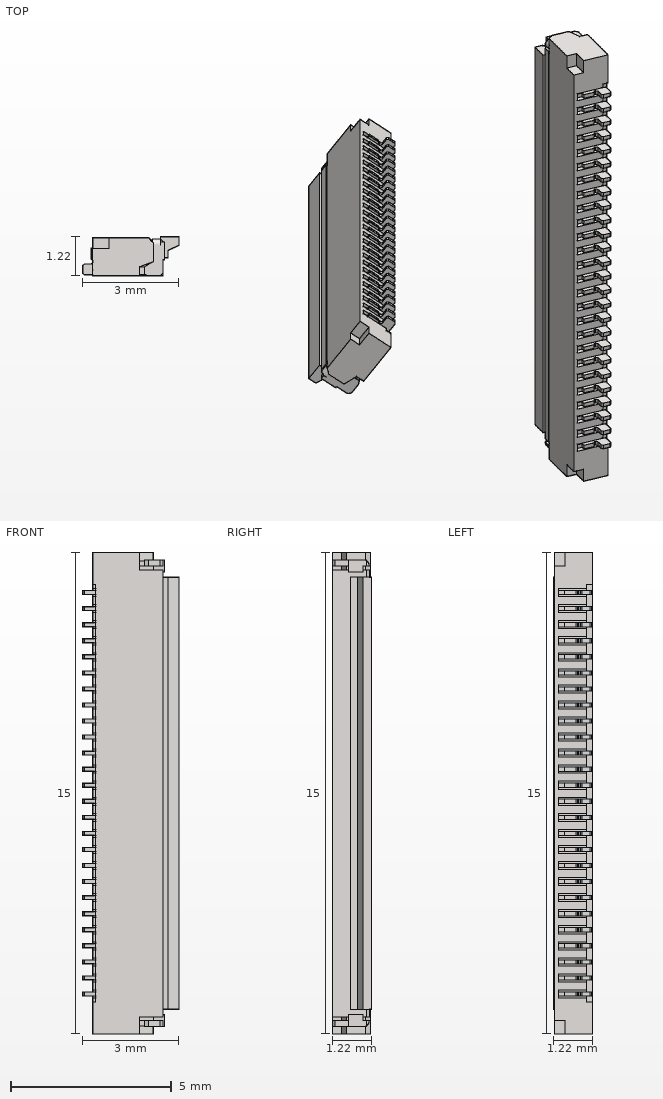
import cadquery as cq

LENGTH = 15.0
TOTAL_DEPTH = 3.0
THICKNESS = 1.22

FACE_X = 0.31
REAR_X = 2.5
HOUSING_TOP = 1.19
END_POCKET_DEPTH = 0.54
POCKET_X = 1.76
POCKET_TOP = 0.28
SHOULDER_X = 2.2
CHAMFER_START_X = 2.06
SHELF_X = 2.17
SHELF_TOP = 1.15
SHELF_END_X = 2.42
SHELF_CORNER = 0.08
GROOVE_X = 2.14
GROOVE_Y = 1.05
SHOULDER_Y = 0.44
SHOULDER_TOP = 1.03
CORNER_NOTCH = (0.5, 0.34, 0.43)
BASE_RECESS = (0.09, 0.18, 13.0)

CONTACT_COUNT = 26
PITCH = 0.5
CONTACT_WIDTH = 0.13
TAIL_BOTTOM = 0.03
TAIL_TOP = 0.37
TAIL_CHAMFER = 0.05
CONTACT_BUMP_X = 0.26
CONTACT_BUMP_BOTTOM = 0.52
CONTACT_BUMP_TOP = 0.87
CONTACT_NECK_X = 0.33
CONTACT_NECK_BOTTOM = 0.43
CONTACT_NECK_TOP = 0.47
CONTACT_HEAD_X = 0.38
SLOT_WIDTH = 0.25
SLOT_DEPTH = 0.5
SLOT_BOTTOM = BASE_RECESS[1]
SLOT_TOP = 1.06

ACTUATOR_LENGTH = 13.46
ACTUATOR_LIP_BOTTOM = 0.95
ACTUATOR_HEEL_X = 2.66
ACTUATOR_HEEL_TOP = 0.79
ACTUATOR_BOTTOM = 0.56

NAIL_INSET = 0.23
NAIL_THICKNESS = 0.2
NAIL_START_X = 1.92
NAIL_FOOT_START_X = 2.04
NAIL_FOOT_END_X = 2.41
NAIL_END_X = 2.55
NAIL_BOTTOM = 0.05
NAIL_STEP_Y = 0.5
NAIL_BEND_Y = 0.95
NAIL_TOP = 1.15
NAIL_CORNER = 0.09
NAIL_BEND_RADIUS = 0.19
NAIL_TAB_TOP = 0.28
NAIL_TAB_THICKNESS = 0.17
NAIL_LUG_LENGTH = 0.38


def prism(points, z_low, z_high):
    """Extrude an XY outline between two Z levels."""
    return cq.Workplane("XY").workplane(offset=z_low).polyline(points).close().extrude(z_high - z_low)


def block(x, y, z, size_x, size_y, size_z):
    """Box with its low X and low Y sides at x, y, centred on z."""
    return cq.Workplane("XY").box(size_x, size_y, size_z, centered=(False, False, True)).translate((x, y, z))


def both_ends(solid):
    """The solid together with its mirror image about the mid-length plane."""
    return solid.union(solid.mirror("XY"))


def make_housing():
    floor_z = LENGTH / 2 - END_POCKET_DEPTH
    middle_outline = [
        (FACE_X, 0), (REAR_X, 0), (REAR_X, SHELF_TOP - SHELF_CORNER), (SHELF_END_X, SHELF_TOP),
        (SHELF_X, SHELF_TOP), (GROOVE_X, GROOVE_Y), (CHAMFER_START_X, HOUSING_TOP), (FACE_X, HOUSING_TOP),
    ]
    end_outline = [
        (FACE_X, 0), (POCKET_X, 0), (POCKET_X, POCKET_TOP), (SHOULDER_X, SHOULDER_Y),
        (SHOULDER_X, SHOULDER_TOP), (CHAMFER_START_X, HOUSING_TOP), (FACE_X, HOUSING_TOP),
    ]
    housing = prism(middle_outline, -floor_z, floor_z)
    housing = housing.union(both_ends(prism(end_outline, floor_z, LENGTH / 2)))
    notch_x, notch_y, notch_z = CORNER_NOTCH
    notch = block(FACE_X, HOUSING_TOP - notch_y, (LENGTH - notch_z) / 2, notch_x, notch_y, notch_z)
    housing = housing.cut(both_ends(notch))
    return housing.cut(block(FACE_X, 0, 0, *BASE_RECESS))


def make_contact(z):
    seat_x = FACE_X + SLOT_DEPTH
    outline = [
        (TAIL_CHAMFER, TAIL_BOTTOM), (seat_x, TAIL_BOTTOM), (seat_x, SLOT_TOP), (CONTACT_HEAD_X, SLOT_TOP),
        (CONTACT_HEAD_X, CONTACT_BUMP_TOP), (CONTACT_BUMP_X, CONTACT_BUMP_TOP),
        (CONTACT_BUMP_X, CONTACT_BUMP_BOTTOM),
        (CONTACT_NECK_X, CONTACT_NECK_TOP), (CONTACT_NECK_X, CONTACT_NECK_BOTTOM), (CONTACT_BUMP_X, TAIL_TOP),
        (TAIL_CHAMFER, TAIL_TOP), (0, TAIL_TOP - TAIL_CHAMFER), (0, TAIL_BOTTOM + TAIL_CHAMFER),
    ]
    return prism(outline, z - CONTACT_WIDTH / 2, z + CONTACT_WIDTH / 2)


def make_actuator():
    outline = [
        (SHELF_END_X, THICKNESS), (TOTAL_DEPTH, THICKNESS), (TOTAL_DEPTH, ACTUATOR_LIP_BOTTOM),
        (ACTUATOR_HEEL_X, ACTUATOR_HEEL_TOP), (ACTUATOR_HEEL_X, ACTUATOR_BOTTOM),
        (SHELF_END_X, ACTUATOR_BOTTOM),
    ]
    return prism(outline, -ACTUATOR_LENGTH / 2, ACTUATOR_LENGTH / 2)


def make_nail():
    plate_z = LENGTH / 2 - NAIL_INSET - NAIL_THICKNESS
    plate_top_z = plate_z + NAIL_THICKNESS
    outline = [
        (NAIL_START_X, NAIL_BOTTOM), (NAIL_FOOT_START_X, 0), (NAIL_FOOT_END_X, 0), (REAR_X, NAIL_CORNER),
        (REAR_X, NAIL_STEP_Y), (NAIL_END_X, NAIL_STEP_Y), (NAIL_END_X, NAIL_TOP - NAIL_CORNER),
        (SHELF_END_X, NAIL_TOP - NAIL_CORNER), (SHELF_END_X, NAIL_BEND_Y), (SHELF_X, NAIL_BEND_Y),
        (SHELF_X, SHOULDER_Y), (NAIL_START_X, NAIL_TAB_TOP),
    ]
    nail = prism(outline, plate_z, plate_top_z)
    bend = block(
        SHELF_X, NAIL_BEND_Y, plate_z + NAIL_THICKNESS / 2,
        SHELF_END_X - SHELF_X, NAIL_TOP - NAIL_BEND_Y, NAIL_THICKNESS,
    )
    bend = bend.edges(">Y and >Z").fillet(NAIL_BEND_RADIUS)
    tab = block(
        POCKET_X, NAIL_BOTTOM, plate_z + NAIL_TAB_THICKNESS / 2,
        NAIL_START_X - POCKET_X, NAIL_TAB_TOP - NAIL_BOTTOM, NAIL_TAB_THICKNESS,
    )
    lug = block(
        SHOULDER_X, NAIL_STEP_Y, plate_top_z - NAIL_LUG_LENGTH / 2,
        NAIL_END_X - SHOULDER_X, NAIL_BEND_Y - NAIL_STEP_Y, NAIL_LUG_LENGTH,
    )
    return nail.union(bend).union(tab).union(lug)


first_z = -(CONTACT_COUNT - 1) * PITCH / 2
contact_levels = [first_z + index * PITCH for index in range(CONTACT_COUNT)]
result = make_housing()
for z in contact_levels:
    slot = block(FACE_X, SLOT_BOTTOM, z, SLOT_DEPTH, SLOT_TOP - SLOT_BOTTOM, SLOT_WIDTH)
    result = result.cut(slot).union(make_contact(z))
result = result.union(make_actuator()).union(both_ends(make_nail()))